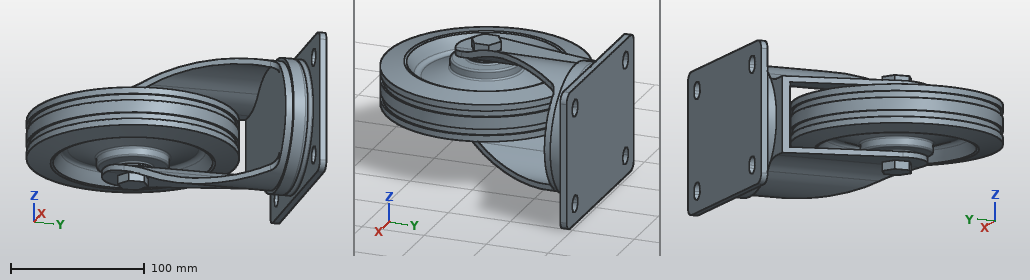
import cadquery as cq
import math


wheel_radius = 80.0
tread_half_width = 18.7
tread_shoulder_half_width = 15.0
tread_face_radius = 62.0
groove_depth = 1.7
groove_outer_z = 9.9
groove_inner_z = 4.8
rim_edge_radius = 60.0
rim_edge_z = 18.0
rim_wall_radius = 54.5
rim_wall_z = 9.0
dish_radius = 49.4
dish_outer_z = 7.0
dish_inner_z = 14.0
hub_diameter = 54.8
hub_half_width = 21.8
hub_edge_fillet = 1.5
hub_root_fillet = 1.3

spacer_radius = 15.0
spacer_collar_diameter = 30.5
spacer_collar_height = 1.7
spacer_root_fillet = 1.0
bolt_sides = 6
bolt_across_flats = 20.5
bolt_head_height = 6.7

fork_thickness = 4.5
leg_half_span = 29.5
leg_end_radius = 23.3
leg_bend_x = 6.5
crown_radius = 49.0
crown_thickness = 5.7
crown_left_x = -3.0
crown_corner_x = 85.5
crown_corner_fillet = 10.5

swivel_x = 60.0
bearing_diameter = 103.1
bearing_height = 15.1
bearing_groove_width = 5.0
bearing_groove_depth = 1.5
bearing_groove_offset = 1.3

plate_length = 139.9
plate_width = 110.0
plate_thickness = 5.2
plate_corner_radius = 7.1
plate_top_y = 115.0
slot_width = 11.0
slot_length = 13.2
slot_spacing_x = 105.0
slot_spacing_z = 77.3

hub_radius = hub_diameter / 2
spacer_collar_radius = spacer_collar_diameter / 2
plate_bottom_y = plate_top_y - plate_thickness
crown_top_y = plate_bottom_y - bearing_height
crown_bottom_y = crown_top_y - crown_thickness
leg_inner_z = leg_half_span - fork_thickness


def make_wheel():
    """Grooved disc dished on both faces, with a hub through its middle."""
    groove_radius = wheel_radius - groove_depth
    upper_rim = [
        (wheel_radius, groove_inner_z),
        (groove_radius, groove_inner_z),
        (groove_radius, groove_outer_z),
        (wheel_radius, groove_outer_z),
        (wheel_radius, tread_shoulder_half_width),
        (tread_face_radius, tread_half_width),
        (0, tread_half_width),
    ]
    lower_rim = [(radius, -z) for radius, z in reversed(upper_rim)]
    disc = cq.Workplane("XZ").polyline(lower_rim + upper_rim).close().revolve(360, (0, 0), (0, 1))
    dish = (
        cq.Workplane("XZ")
        .moveTo(hub_radius, tread_half_width)
        .lineTo(hub_radius, dish_inner_z + hub_root_fillet)
        .radiusArc((hub_radius + hub_root_fillet, dish_inner_z), -hub_root_fillet)
        .lineTo(dish_radius, dish_outer_z)
        .tangentArcPoint((rim_wall_radius, rim_wall_z), relative=False)
        .tangentArcPoint((rim_edge_radius, rim_edge_z), relative=False)
        .lineTo(tread_face_radius, tread_half_width)
        .close()
        .revolve(360, (0, 0), (0, 1))
    )
    hub = (
        cq.Workplane("XY")
        .circle(hub_radius)
        .extrude(hub_half_width, both=True)
        .faces("|Z")
        .edges()
        .fillet(hub_edge_fillet)
    )
    return disc.cut(dish).cut(dish.mirror("XY")).union(hub)


def make_axle():
    """Spacers between the hub and the fork legs, with a hexagon bolt head outside each leg."""
    collar_z = hub_half_width + spacer_collar_height
    half = (
        cq.Workplane("XZ")
        .lineTo(spacer_collar_radius + spacer_root_fillet, 0)
        .lineTo(spacer_collar_radius + spacer_root_fillet, hub_half_width)
        .radiusArc((spacer_collar_radius, hub_half_width + spacer_root_fillet), spacer_root_fillet)
        .lineTo(spacer_collar_radius, collar_z)
        .lineTo(spacer_radius, collar_z)
        .lineTo(spacer_radius, leg_inner_z)
        .lineTo(0, leg_inner_z)
        .close()
        .revolve(360, (0, 0), (0, 1))
    )
    head = (
        cq.Workplane("XY", origin=(0, 0, leg_inner_z))
        .polygon(bolt_sides, bolt_across_flats / math.cos(math.pi / bolt_sides))
        .extrude(fork_thickness + bolt_head_height)
        .rotate((0, 0, 0), (0, 0, 1), 180 / bolt_sides)
    )
    half = half.union(head)
    return half.union(half.mirror("XY"))


def fork_plan(inset, bottom_y):
    """Keyhole outline: two straight sides that bend out tangentially into the round crown."""
    side = leg_half_span - inset
    radius = crown_radius - inset
    reach = swivel_x - leg_bend_x
    bend_radius = (reach**2 + side**2 - radius**2) / (2 * (radius - side))
    bend_center_z = side + bend_radius
    bend_angle = math.atan2(reach, bend_center_z)

    def bend_point(angle):
        return (leg_bend_x + bend_radius * math.sin(angle), bend_center_z - bend_radius * math.cos(angle))

    mid_x, mid_z = bend_point(bend_angle / 2)
    end_x, end_z = bend_point(bend_angle)
    start_x = -leg_end_radius - fork_thickness
    return (
        cq.Workplane("XZ", origin=(0, bottom_y, 0))
        .moveTo(start_x, side)
        .lineTo(leg_bend_x, side)
        .threePointArc((mid_x, mid_z), (end_x, end_z))
        .threePointArc((swivel_x + radius, 0), (end_x, -end_z))
        .threePointArc((mid_x, -mid_z), (leg_bend_x, -side))
        .lineTo(start_x, -side)
        .close()
        .extrude(-(crown_top_y - bottom_y))
    )


def tangent_point(x, y, side):
    """Point where the line from (x, y) touches the rounded leg end; side is +1 right, -1 left."""
    angle = math.atan2(y, x) - side * math.acos(leg_end_radius / math.hypot(x, y))
    return (leg_end_radius * math.cos(angle), leg_end_radius * math.sin(angle))


def make_fork():
    """Bent sheet legs under a solid crown, trimmed to the tapered side outline."""
    legs_bottom_y = -leg_end_radius
    legs = fork_plan(0, legs_bottom_y).cut(fork_plan(fork_thickness, legs_bottom_y))
    crown = fork_plan(0, crown_bottom_y)
    right_x = swivel_x + crown_radius
    outline = (
        cq.Workplane("XY", origin=(0, 0, -crown_radius))
        .moveTo(crown_left_x, crown_top_y)
        .lineTo(right_x, crown_top_y)
        .lineTo(right_x, crown_bottom_y)
        .lineTo(crown_corner_x, crown_bottom_y)
        .lineTo(*tangent_point(crown_corner_x, crown_bottom_y, 1))
        .threePointArc((0, -leg_end_radius), tangent_point(crown_left_x, crown_top_y, -1))
        .close()
        .extrude(2 * crown_radius)
    )
    corner = cq.selectors.NearestToPointSelector((crown_corner_x, crown_bottom_y, 0))
    outline = outline.edges("|Z").edges(corner).fillet(crown_corner_fillet)
    return legs.union(crown).intersect(outline)


def make_bearing():
    """Round swivel bearing; two rounded shoulders meet in a sharp groove near the plate."""
    radius = bearing_diameter / 2
    half_width = bearing_groove_width / 2
    groove_top_y = plate_bottom_y - bearing_groove_offset
    groove_bottom_y = groove_top_y - bearing_groove_width
    groove_mid_y = groove_top_y - half_width
    shoulder_radius = (half_width**2 + bearing_groove_depth**2) / (2 * bearing_groove_depth)
    return (
        cq.Workplane("XY", origin=(swivel_x, 0, 0))
        .moveTo(0, crown_top_y)
        .lineTo(radius, crown_top_y)
        .lineTo(radius, groove_bottom_y)
        .radiusArc((radius - bearing_groove_depth, groove_mid_y), -shoulder_radius)
        .radiusArc((radius, groove_top_y), -shoulder_radius)
        .lineTo(radius, plate_bottom_y)
        .lineTo(0, plate_bottom_y)
        .close()
        .revolve(360, (0, 0), (0, 1))
    )


def make_plate():
    """Rounded mounting plate with four slots elongated along Z."""
    plate = (
        cq.Workplane("XZ", origin=(swivel_x, plate_bottom_y, 0))
        .rect(plate_length, plate_width)
        .extrude(-plate_thickness)
        .edges("|Y")
        .fillet(plate_corner_radius)
    )
    slots = (
        cq.Workplane("XZ", origin=(swivel_x, plate_bottom_y, 0))
        .rect(slot_spacing_x, slot_spacing_z, forConstruction=True)
        .vertices()
        .slot2D(slot_length, slot_width, 90)
        .extrude(-plate_thickness)
    )
    return plate.cut(slots)


result = make_wheel()
for section in (make_axle(), make_fork(), make_bearing(), make_plate()):
    result = result.union(section)